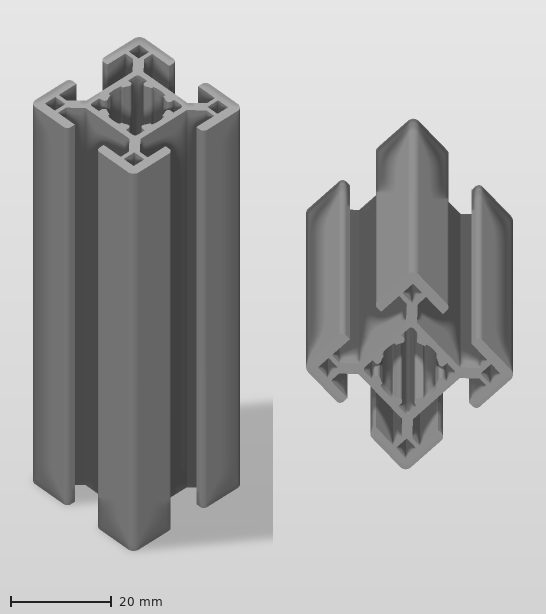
import cadquery as cq
import math

width = 30.0
length = 100.0
corner_radius = 1.5

lip_thickness = 2.1
opening_width = 8.4
lip_radius = 1.0
slot_inner_width = 18.2
core_width = 15.8
web_half_offset = 1.1

hollow_wall = 0.9

core_wall = 1.3
bore_corner_radius = 0.7
ridge_inner_side = 1.7
ridge_outer_side = 3.9
ridge_circle_radius = 6.0
relief_radius = 6.5
ridge_tip_radius = 0.7

half_width = width / 2
half_core = core_width / 2
half_bore = half_core - core_wall
quarter_turns = (0, 90, 180, 270)


def around_axis(shape):
    """Fuse four copies of a shape, a quarter turn apart about Z."""
    copies = cq.Workplane()
    for angle in quarter_turns:
        copies = copies.add(shape.rotate((0, 0, 0), (0, 0, 1), angle))
    return copies.combine()


def square_bar(side):
    return cq.Workplane().rect(side, side).extrude(length)


def outer_bar():
    return square_bar(width).edges("|Z").fillet(corner_radius)


def slot():
    """T-slot on the +Y side, with the mouth of its opening rounded outwards."""
    half_opening = opening_width / 2
    half_inner = slot_inner_width / 2
    mouth = half_opening + lip_radius
    lip_inside = half_width - lip_thickness
    web_shift = web_half_offset * math.sqrt(2)
    shoulder_y = half_inner + web_shift
    floor_x = half_core - web_shift
    arc_inset = lip_radius * (1 - math.sqrt(0.5))
    arc_mid_x = half_opening + arc_inset
    arc_mid_y = half_width - arc_inset
    return (
        cq.Workplane()
        .moveTo(0, half_core)
        .lineTo(floor_x, half_core)
        .lineTo(half_inner, shoulder_y)
        .lineTo(half_inner, lip_inside)
        .lineTo(half_opening, lip_inside)
        .lineTo(half_opening, half_width - lip_radius)
        .threePointArc((arc_mid_x, arc_mid_y), (mouth, half_width))
        .lineTo(0, half_width)
        .mirrorY()
        .extrude(length)
    )


def corner_hollow():
    """Square hollow in the +X +Y corner."""
    inner = slot_inner_width / 2 + hollow_wall
    size = half_width - lip_thickness - inner
    centre = inner + size / 2
    return cq.Workplane().center(centre, centre).rect(size, size).extrude(length)


def cylinder(radius):
    return cq.Workplane().circle(radius).extrude(length)


def ridge_pair():
    """Two ridges on the +Y wall, with round tips and a relief between them."""
    wall = (
        cq.Workplane()
        .center(0, half_bore / 2)
        .rect(2 * ridge_outer_side, half_bore)
        .extrude(length)
        .cut(cylinder(ridge_circle_radius))
        .edges("|Z and (not >Y)")
        .fillet(ridge_tip_radius)
    )
    gap = cq.Workplane().rect(2 * ridge_inner_side, 2 * half_bore).extrude(length)
    return wall.cut(gap.intersect(cylinder(relief_radius)))


def bore():
    """Round-cornered square opening, less the ridges that stay on its walls."""
    opening = square_bar(2 * half_bore).edges("|Z").fillet(bore_corner_radius)
    return opening.cut(around_axis(ridge_pair()))


result = (
    outer_bar()
    .cut(around_axis(slot()))
    .cut(around_axis(corner_hollow()))
    .cut(bore())
)